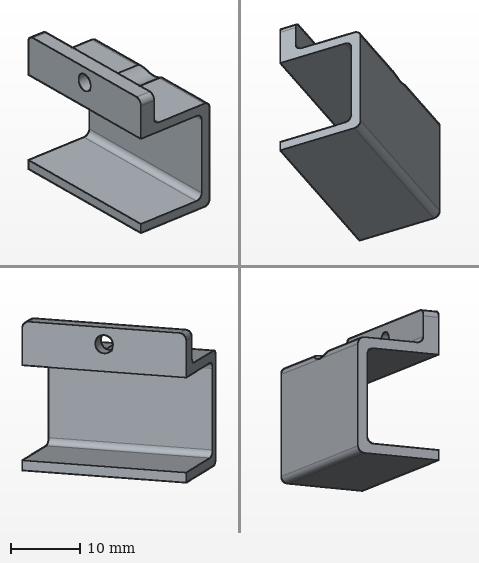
import cadquery as cq

length = 25.0
depth = 13.0
height = 22.0
wall = 1.5
channel_height = 17.0
lip_thickness = 2.5
bend_radius = 1.0
hole_diameter = 2.7
hole_height = 19.5
groove_radius = 3.5

shelf_underside = channel_height - wall
back_inner = depth - wall


def make_profile():
    """Extrude the C-shaped channel with its upright front lip along X."""
    points = [
        (0, 0),
        (depth, 0),
        (depth, channel_height),
        (lip_thickness, channel_height),
        (lip_thickness, height),
        (0, height),
        (0, shelf_underside),
        (back_inner, shelf_underside),
        (back_inner, wall),
        (0, wall),
    ]
    return cq.Workplane("YZ").polyline(points).close().extrude(length / 2, both=True)


def round_bends(body):
    """Round both sides of the channel bends and the root of the lip."""
    bends = [
        (depth, 0),
        (depth, channel_height),
        (lip_thickness, channel_height),
        (back_inner, shelf_underside),
        (back_inner, wall),
    ]
    for y, z in bends:
        body = body.edges(cq.selectors.NearestToPointSelector((0, y, z))).fillet(bend_radius)
    return body


def round_lip_corners(body):
    """Round the two upper corners of the lip."""
    return body.faces(">Z").edges("|Y").fillet(bend_radius)


def cylinder_along_y(radius, start, end):
    """Make a cylinder on the hole axis between two Y positions."""
    axis_start = cq.Vector(0, start, hole_height)
    return cq.Workplane(cq.Solid.makeCylinder(radius, end - start, axis_start, cq.Vector(0, 1, 0)))


body = round_lip_corners(round_bends(make_profile()))
lip_hole = cylinder_along_y(hole_diameter / 2, 0, lip_thickness)
shelf_groove = cylinder_along_y(groove_radius, lip_thickness, depth)

result = body.cut(lip_hole).cut(shelf_groove)